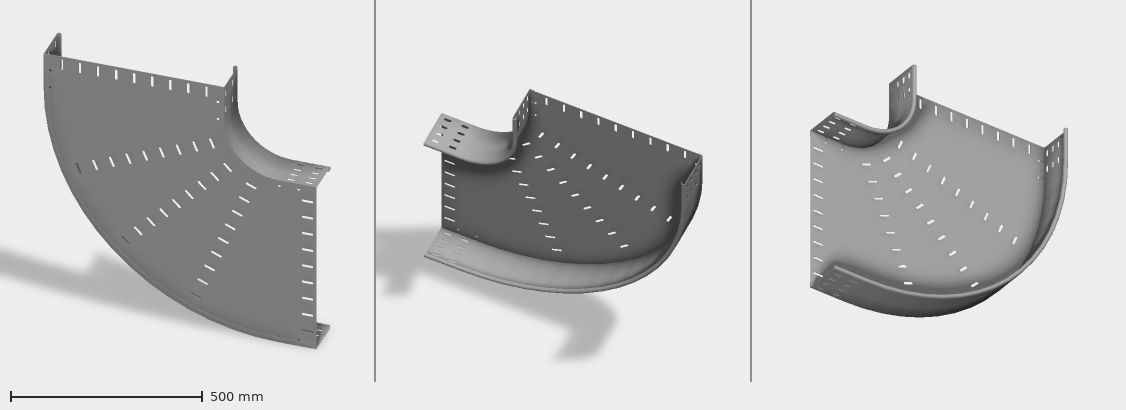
import cadquery as cq
import math


overall_size = 755.0
tray_height = 110.0
outer_radius = 650.0
sheet = 1.35

outer_radius_pitches = 13
inner_radius_pitches = 3
slot_pitch = outer_radius / outer_radius_pitches
inner_radius = slot_pitch * inner_radius_pitches

outer_face = -overall_size / 2
base_y = -tray_height / 2
bend_centre = outer_face + outer_radius
inner_wall_end = overall_size / 2
mouth_step = 1.0
tray_end = inner_wall_end - mouth_step

flange_width = 15.0
curl_radius = 6.0
curl_leg = 2.0

slot_width = 7.0
floor_slot_length = 32.0
wall_slot_length = 20.5
mouth_slot_inset = slot_pitch / 2
mouth_slot_centre = inner_wall_end - mouth_slot_inset
floor_slots_per_row = outer_radius_pitches - inner_radius_pitches - 1
first_row_radius = inner_radius + slot_pitch
fan_angles = (22.5, 45.0, 67.5)
wall_slot_columns = 2
wall_slot_rows = 4
wall_slot_rise = slot_pitch / 2
first_wall_slot_height = 14.0

cutter_reach = 2 * sheet

notch_width = 7.0
notch_depth = 22.0
notch_insets = (50.0, 103.0)


def bend_path(radius, end):
    """Centre line of the bend: straight, quarter circle, straight."""
    mid = radius * math.sqrt(0.5)
    return (
        cq.Workplane("XZ")
        .moveTo(bend_centre - radius, end)
        .lineTo(bend_centre - radius, bend_centre)
        .threePointArc((bend_centre - mid, bend_centre - mid), (bend_centre, bend_centre - radius))
        .lineTo(end, bend_centre - radius)
    )


def wall_section(radius, inward, end):
    """Flange, web and curled rim; inward is the X direction towards the channel."""
    face = bend_centre - radius
    top_y = base_y + tray_height
    spring_y = top_y - curl_radius
    inner_curl = curl_radius - sheet

    def x_at(depth):
        return face + inward * depth

    return (
        cq.Workplane("XY", origin=(0, 0, end))
        .moveTo(x_at(0), base_y)
        .lineTo(x_at(0), spring_y)
        .threePointArc((x_at(curl_radius), top_y), (x_at(2 * curl_radius), spring_y))
        .lineTo(x_at(2 * curl_radius), spring_y - curl_leg)
        .lineTo(x_at(2 * curl_radius - sheet), spring_y - curl_leg)
        .lineTo(x_at(2 * curl_radius - sheet), spring_y)
        .threePointArc((x_at(curl_radius), spring_y + inner_curl), (x_at(sheet), spring_y))
        .lineTo(x_at(sheet), base_y + sheet)
        .lineTo(x_at(flange_width), base_y + sheet)
        .lineTo(x_at(flange_width), base_y)
        .close()
    )


def side_wall(radius, inward, end):
    """Section swept round the bend, with a grid of slots near each mouth."""
    wall = wall_section(radius, inward, end).sweep(bend_path(radius, end))
    face = bend_centre - radius
    for column in range(wall_slot_columns):
        along = mouth_slot_centre - column * slot_pitch
        for row in range(wall_slot_rows):
            y = base_y + first_wall_slot_height + row * wall_slot_rise
            top_mouth_slot = (
                cq.Workplane("YZ", origin=(face, y, along))
                .slot2D(wall_slot_length, slot_width, 90)
                .extrude(cutter_reach, both=True)
            )
            side_mouth_slot = (
                cq.Workplane("XY", origin=(along, y, face))
                .slot2D(wall_slot_length, slot_width, 0)
                .extrude(cutter_reach, both=True)
            )
            wall = wall.cut(top_mouth_slot).cut(side_mouth_slot)
    return wall


def floor_blank():
    """Plate filling the channel between the two webs."""
    outer = outer_radius - sheet
    inner = inner_radius + sheet
    outer_mid = bend_centre - outer * math.sqrt(0.5)
    inner_mid = bend_centre - inner * math.sqrt(0.5)
    return (
        cq.Workplane("XZ", origin=(0, base_y + sheet, 0))
        .moveTo(bend_centre - outer, tray_end)
        .lineTo(bend_centre - outer, bend_centre)
        .threePointArc((outer_mid, outer_mid), (bend_centre, bend_centre - outer))
        .lineTo(tray_end, bend_centre - outer)
        .lineTo(tray_end, bend_centre - inner)
        .lineTo(bend_centre, bend_centre - inner)
        .threePointArc((inner_mid, inner_mid), (bend_centre - inner, bend_centre))
        .lineTo(bend_centre - inner, tray_end)
        .close()
        .extrude(-sheet)
    )


def floor_cutter(x, z, length, width, angle):
    """Slot through the floor, its long side at the given angle from X in the XZ plane."""
    return (
        cq.Workplane("XZ", origin=(x, base_y + sheet, z))
        .slot2D(length, width, angle)
        .extrude(cutter_reach, both=True)
    )


def floor_slots():
    """A slot row at each mouth and rows of tangential slots fanned around the bend."""
    slots = []
    for index in range(floor_slots_per_row):
        radius = first_row_radius + index * slot_pitch
        across = bend_centre - radius
        slots.append(floor_cutter(across, mouth_slot_centre, floor_slot_length, slot_width, 90))
        slots.append(floor_cutter(mouth_slot_centre, across, floor_slot_length, slot_width, 0))
        for angle in fan_angles:
            x = bend_centre - radius * math.cos(math.radians(angle))
            z = bend_centre - radius * math.sin(math.radians(angle))
            slots.append(floor_cutter(x, z, floor_slot_length, slot_width, angle + 90))
    return slots


def floor_notches():
    """Round-ended notches open to the straight floor edges."""
    notches = []
    for face in (bend_centre - outer_radius, bend_centre - inner_radius):
        for inset in notch_insets:
            along = inner_wall_end - inset
            notches.append(floor_cutter(face, along, 2 * notch_depth, notch_width, 0))
            notches.append(floor_cutter(along, face, 2 * notch_depth, notch_width, 90))
    return notches


def floor_plate():
    """Floor with all its slots and notches."""
    floor = floor_blank()
    for cutter in floor_slots() + floor_notches():
        floor = floor.cut(cutter)
    return floor


floor = floor_plate()
outer_wall = side_wall(outer_radius, 1, tray_end)
inner_wall = side_wall(inner_radius, -1, inner_wall_end)

result = cq.Compound.makeCompound([floor.val(), outer_wall.val(), inner_wall.val()])